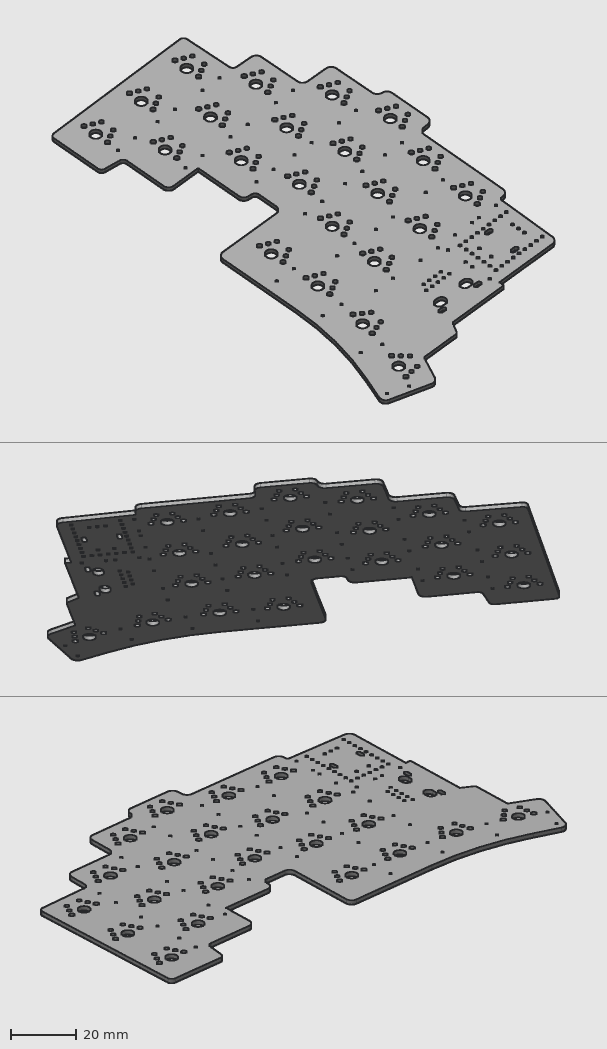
import cadquery as cq
import math


THICKNESS = 1.6
LEFT = -80.1
TOP = 48.9

ROUND = 2.2
SMALL_ROUND = 1.6
FINE_ROUND = 0.6
THUMB_SWEEP_RADIUS = 105.8

OUTLINE = [
    (LEFT, 21.6, SMALL_ROUND),
    (-59.3, 22.1, SMALL_ROUND),
    (-59.0, 32.0, ROUND),
    (-39.3, 32.2, ROUND),
    (-39.1, 44.5, ROUND),
    (-19.5, 44.7, ROUND),
    (-19.2, TOP, ROUND),
    (0.2, TOP, ROUND),
    (0.5, 42.8, ROUND),
    (38.6, 42.6, ROUND),
    (38.8, 39.0, FINE_ROUND),
    (64.1, 38.3, ROUND),
    (64.1, 12.8, 0),
    (66.0, 12.8, 0),
    (66.0, -9.8, 0),
    (70.4, -12.2, FINE_ROUND),
    (70.4, -26.8, FINE_ROUND),
    (80.6, -31.5, ROUND),
    (74.9, -49.7, ROUND),
    (46.3, -39.3, THUMB_SWEEP_RADIUS),
    (-6.0, -39.3, ROUND),
    (-6.0, -11.4, ROUND),
    (-17.0, -11.4, SMALL_ROUND),
    (-17.5, -16.2, ROUND),
    (-36.9, -16.2, 0),
    (-36.9, -29.2, ROUND),
    (-56.3, -29.2, SMALL_ROUND),
    (-57.4, -37.8, SMALL_ROUND),
    (-79.2, -37.8, SMALL_ROUND),
]

FINGER_COLUMNS_SPAN = 100.0
COLUMN_MIDDLE_Y = [-7.5, 2.4, 15.4, 20.5, 14.5, 12.5]
KEY_PITCH = FINGER_COLUMNS_SPAN / (len(COLUMN_MIDDLE_Y) - 1)
FIRST_COLUMN_X = -69.7
ROWS = (-1, 0, 1)

THUMB_KEYS = [
    (5.3, -27.2, 0),
    (5.3 + KEY_PITCH, -27.2, 0),
    (46.6, -29.5, -10),
    (67.5, -35.0, -20),
]

STEM_DIAMETER = 4.0
PEG_DIAMETER = 1.8
PIN_DIAMETER = 1.5
HOLE_GRID = 1.27
PEG_STEPS = [(-4, 0), (4, 0)]
PIN_STEPS = [(-3, 2), (-2, 4), (2, 4), (3, 2)]

DIODE_DIAMETER = 0.8
DIODE_SPACING = 7.5
DIODES = [
    (-59.6, 12.8, 0),
    (-60.0, -6.5, 0),
    (-60.0, -24.0, 0),
    (-39.8, 24.7, 0),
    (-39.3, 4.3, 0),
    (-39.8, -15.0, 0),
    (-19.7, 31.9, 0),
    (-19.7, 12.3, 0),
    (-19.9, -4.2, 0),
    (0.2, 31.7, 0),
    (0.2, 14.3, 0),
    (0.5, -3.7, 0),
    (20.5, 28.9, 0),
    (20.8, 6.5, 0),
    (20.4, -10.0, 0),
    (39.9, 32.4, 0),
    (39.9, 21.8, 0),
    (40.0, 6.5, 0),
    (39.5, -12.5, 0),
    (14.7, -30.8, 0),
    (35.7, -31.7, -5),
    (56.1, -35.3, -17),
    (74.5, -42.5, -20),
]

MODULE_X = 52.0
MODULE_PIN_DIAMETER = 1.0
MODULE_ROW_SPACING = 15.4
MODULE_TOP_Y = 36.2
MODULE_BOTTOM_Y = 15.9
MODULE_SIDE_PINS = 9
MODULE_END_PINS = 7
PIN_PITCH = (MODULE_TOP_Y - MODULE_BOTTOM_Y) / (MODULE_SIDE_PINS - 1)
UPPER_PINS_Y = 33.7
LOWER_PINS_Y = 19.0
MODULE_SLOT_SPACING = 11.0
MODULE_SLOT_Y = 26.3
SMALL_SLOT_WIDTH = 1.5
SMALL_SLOT_LENGTH = 2.9

PIN_ROW_Y = 11.9
PIN_ROW_DIAMETER = 0.9
PIN_ROW_INNER_SPACING = 2.9
PIN_ROW_OUTER_SPACING = 18.0

HEADER_PIN_DIAMETER = 0.9
HEADER_Y = -0.3
HEADER_RIGHT_X = 50.5
HEADER_LEFT_X = 48.1
HEADER_RIGHT_PINS = 5
HEADER_LEFT_PINS = 4

SIDE_SLOTS_Y = -0.3
LARGE_SLOT_X = 57.0
LARGE_SLOT_SPACING = 11.2
LARGE_SLOT_WIDTH = 3.4
LARGE_SLOT_LENGTH = 4.5
SMALL_SLOT_X = 60.0
SMALL_SLOT_SPACING = 15.5


def rounded_outline(corners):
    """Closed wire through the corners, each rounded by a tangent arc of its own radius."""
    path = None
    for i, (x, y, radius) in enumerate(corners):
        corner = cq.Vector(x, y)
        before = cq.Vector(*corners[i - 1][:2])
        after = cq.Vector(*corners[(i + 1) % len(corners)][:2])
        to_before = (before - corner).normalized()
        to_after = (after - corner).normalized()
        half_angle = to_before.getAngle(to_after) / 2
        setback = radius / math.tan(half_angle)
        arc_start = corner + to_before * setback
        if path is None:
            path = cq.Workplane("XY").moveTo(arc_start.x, arc_start.y)
        else:
            path = path.lineTo(arc_start.x, arc_start.y)
        if radius > 0:
            arc_end = corner + to_after * setback
            bisector = (to_before + to_after).normalized()
            arc_middle = corner + bisector * (radius / math.sin(half_angle) - radius)
            path = path.threePointArc((arc_middle.x, arc_middle.y), (arc_end.x, arc_end.y))
    return path.close()


def turned(x, y, degrees):
    """The point turned about the origin."""
    angle = math.radians(degrees)
    return (
        x * math.cos(angle) - y * math.sin(angle),
        x * math.sin(angle) + y * math.cos(angle),
    )


def placed(points, x, y, degrees=0):
    """The points turned about the origin and then moved to (x, y)."""
    spots = [turned(px, py, degrees) for px, py in points]
    return [(x + px, y + py) for px, py in spots]


def evenly_spaced(count, pitch):
    """Positions of a row centred on zero."""
    return [(i - (count - 1) / 2) * pitch for i in range(count)]


def hole_cutters(points, diameter):
    return cq.Workplane("XY").pushPoints(points).circle(diameter / 2).extrude(THICKNESS)


def slot_cutters(points, length, width):
    """Slots running along Y."""
    return cq.Workplane("XY").pushPoints(points).slot2D(length, width, 90).extrude(THICKNESS)


def key_places():
    places = list(THUMB_KEYS)
    for column, middle_y in enumerate(COLUMN_MIDDLE_Y):
        for row in ROWS:
            places.append((FIRST_COLUMN_X + column * KEY_PITCH, middle_y + row * KEY_PITCH, 0))
    return places


def cut_switches(board):
    peg_offsets = [(sx * HOLE_GRID, sy * HOLE_GRID) for sx, sy in PEG_STEPS]
    pin_offsets = [(sx * HOLE_GRID, sy * HOLE_GRID) for sx, sy in PIN_STEPS]
    stems, pegs, pins = [], [], []
    for x, y, degrees in key_places():
        stems.append((x, y))
        pegs += placed(peg_offsets, x, y, degrees)
        pins += placed(pin_offsets, x, y, degrees)
    board = board.cut(hole_cutters(stems, STEM_DIAMETER))
    board = board.cut(hole_cutters(pegs, PEG_DIAMETER))
    return board.cut(hole_cutters(pins, PIN_DIAMETER))


def cut_diodes(board):
    pair = [(0, offset) for offset in evenly_spaced(2, DIODE_SPACING)]
    points = []
    for x, y, degrees in DIODES:
        points += placed(pair, x, y, degrees)
    return board.cut(hole_cutters(points, DIODE_DIAMETER))


def cut_controller(board):
    side_y = [MODULE_BOTTOM_Y + i * PIN_PITCH for i in range(MODULE_SIDE_PINS)]
    side_x = evenly_spaced(2, MODULE_ROW_SPACING)
    pins = [(MODULE_X + x, y) for x in side_x for y in side_y]
    end_x = evenly_spaced(MODULE_END_PINS, PIN_PITCH)[1:-1]
    pins += [(MODULE_X + x, MODULE_BOTTOM_Y) for x in end_x]
    pins += [(MODULE_X + x, UPPER_PINS_Y) for x in evenly_spaced(3, PIN_PITCH)]
    pins += [(MODULE_X + x, LOWER_PINS_Y) for x in evenly_spaced(2, 2 * PIN_PITCH)]
    slots = [(MODULE_X + x, MODULE_SLOT_Y) for x in evenly_spaced(2, MODULE_SLOT_SPACING)]
    board = board.cut(hole_cutters(pins, MODULE_PIN_DIAMETER))
    return board.cut(slot_cutters(slots, SMALL_SLOT_LENGTH, SMALL_SLOT_WIDTH))


def cut_pin_row(board):
    offsets = evenly_spaced(2, PIN_ROW_INNER_SPACING) + evenly_spaced(2, PIN_ROW_OUTER_SPACING)
    points = [(MODULE_X + x, PIN_ROW_Y) for x in offsets]
    return board.cut(hole_cutters(points, PIN_ROW_DIAMETER))


def cut_header(board):
    points = []
    for x, count in ((HEADER_RIGHT_X, HEADER_RIGHT_PINS), (HEADER_LEFT_X, HEADER_LEFT_PINS)):
        points += [(x, HEADER_Y + y) for y in evenly_spaced(count, PIN_PITCH)]
    return board.cut(hole_cutters(points, HEADER_PIN_DIAMETER))


def cut_side_slots(board):
    large = [(LARGE_SLOT_X, SIDE_SLOTS_Y + y) for y in evenly_spaced(2, LARGE_SLOT_SPACING)]
    small = [(SMALL_SLOT_X, SIDE_SLOTS_Y + y) for y in evenly_spaced(2, SMALL_SLOT_SPACING)]
    board = board.cut(slot_cutters(large, LARGE_SLOT_LENGTH, LARGE_SLOT_WIDTH))
    return board.cut(slot_cutters(small, SMALL_SLOT_LENGTH, SMALL_SLOT_WIDTH))


board = rounded_outline(OUTLINE).extrude(THICKNESS)
board = cut_switches(board)
board = cut_diodes(board)
board = cut_controller(board)
board = cut_pin_row(board)
board = cut_header(board)
result = cut_side_slots(board)